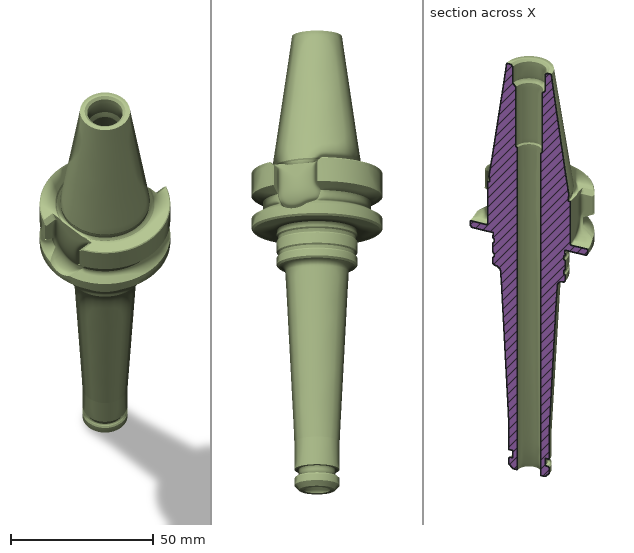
import cadquery as cq
import math

LENGTH = 164.4

TAPER_BOTTOM = 116.5
TAPER_LARGE_DIA = 31.5
TAPER_RATIO = 7 / 24
TAPER_SMALL_DIA = TAPER_LARGE_DIA - (LENGTH - TAPER_BOTTOM) * TAPER_RATIO
RELIEF_DIA = 31.0
RELIEF_LEAD = 0.5
FACE_RECESS_DIA = 35.0
FACE_RECESS_DEPTH = 0.5

FLANGE_DIA = 46.0
FLANGE_TOP = 115.0
FLANGE_BOTTOM = 94.0
FLANGE_TOP_CHAMFER = 0.3
FLANGE_BOTTOM_CHAMFER = 0.7
V_NECK_DIA = 38.1
V_NECK_TOP = 104.0
V_NECK_BOTTOM = 100.6
V_FLANK_ANGLE = 30
V_FLANK_HEIGHT = (FLANGE_DIA - V_NECK_DIA) / 2 * math.tan(math.radians(V_FLANK_ANGLE))
RIM_BOTTOM = V_NECK_TOP + V_FLANK_HEIGHT

SLOT_WIDTH = 16.3
SLOT_FLOOR_Y = 16.3
SLOT_END_Z = 96.8
SLOT_CORNER_RADIUS = 0.5
SLOT_TOP_CHAMFER = 1.6
SLOT_RIM_CHAMFER = 0.5

COLLAR_DIA = 28.5
COLLAR_BOTTOM = 80.9
COLLAR_CHAMFER = 0.7
COLLAR_ROOT_DIA = 28.1
COLLAR_ROOT_HEIGHT = 1.2
COLLAR_GROOVE_TOPS = (92.0, 86.1)
COLLAR_GROOVE_WIDTH = 2.1
COLLAR_GROOVE_DEPTH = 0.5

SHANK_TOP_DIA = 22.4
SHANK_FILLET = 2.0
TIP_DIA = 16.0
TIP_TOP = 17.5
TIP_GROOVE_DIA = 13.0
TIP_GROOVE_TOP = 7.4
TIP_GROOVE_BOTTOM = 4.6
END_TOP_CHAMFER = 0.5
END_CHAMFER = 1.6

MOUTH_DIA = 14.3
MOUTH_CHAMFER_DEPTH = 0.8
PILOT_DIA = 12.5
PILOT_DEPTH = 7.5
THREAD_HOLE_DIA = 10.0
THREAD_HOLE_DEPTH = 32.9
THROUGH_DIA = 9.0


def build_body():
    """Revolve the outer profile, drawn from the tool end upwards."""
    tip_r = TIP_DIA / 2
    tip_groove_r = TIP_GROOVE_DIA / 2
    shank_r = SHANK_TOP_DIA / 2
    collar_r = COLLAR_DIA / 2
    flange_r = FLANGE_DIA / 2
    neck_r = V_NECK_DIA / 2
    recess_r = FACE_RECESS_DIA / 2
    relief_r = RELIEF_DIA / 2
    recess_z = FLANGE_TOP - FACE_RECESS_DEPTH
    profile = (
        cq.Workplane("XZ")
        .moveTo(0, 0)
        .lineTo(tip_r - END_CHAMFER, 0)
        .lineTo(tip_r, END_CHAMFER)
        .lineTo(tip_r, TIP_GROOVE_BOTTOM - END_TOP_CHAMFER)
        .lineTo(tip_r - END_TOP_CHAMFER, TIP_GROOVE_BOTTOM)
        .lineTo(tip_groove_r, TIP_GROOVE_BOTTOM)
        .lineTo(tip_groove_r, TIP_GROOVE_TOP)
        .lineTo(tip_r, TIP_GROOVE_TOP)
        .lineTo(tip_r, TIP_TOP)
        .lineTo(shank_r, COLLAR_BOTTOM - SHANK_FILLET)
        .radiusArc((shank_r + SHANK_FILLET, COLLAR_BOTTOM), SHANK_FILLET)
        .lineTo(collar_r - COLLAR_CHAMFER, COLLAR_BOTTOM)
        .lineTo(collar_r, COLLAR_BOTTOM + COLLAR_CHAMFER)
        .lineTo(collar_r, FLANGE_BOTTOM - COLLAR_ROOT_HEIGHT)
        .lineTo(COLLAR_ROOT_DIA / 2, FLANGE_BOTTOM - COLLAR_ROOT_HEIGHT)
        .lineTo(COLLAR_ROOT_DIA / 2, FLANGE_BOTTOM)
        .lineTo(flange_r - FLANGE_BOTTOM_CHAMFER, FLANGE_BOTTOM)
        .lineTo(flange_r, FLANGE_BOTTOM + FLANGE_BOTTOM_CHAMFER)
        .lineTo(flange_r, V_NECK_BOTTOM - V_FLANK_HEIGHT)
        .lineTo(neck_r, V_NECK_BOTTOM)
        .lineTo(neck_r, V_NECK_TOP)
        .lineTo(flange_r, RIM_BOTTOM)
        .lineTo(flange_r, FLANGE_TOP - FLANGE_TOP_CHAMFER)
        .lineTo(flange_r - FLANGE_TOP_CHAMFER, FLANGE_TOP)
        .lineTo(recess_r, FLANGE_TOP)
        .lineTo(recess_r - FACE_RECESS_DEPTH, recess_z)
        .lineTo(relief_r, recess_z)
        .lineTo(relief_r, TAPER_BOTTOM - RELIEF_LEAD)
        .lineTo(TAPER_LARGE_DIA / 2, TAPER_BOTTOM)
        .lineTo(TAPER_SMALL_DIA / 2, LENGTH)
        .lineTo(0, LENGTH)
        .close()
    )
    return profile.revolve(360, (0, 0), (0, 1))


def build_collar_groove(top):
    """Ring with 45-degree flanks that cuts one groove into the collar."""
    collar_r = COLLAR_DIA / 2
    floor_r = collar_r - COLLAR_GROOVE_DEPTH
    bottom = top - COLLAR_GROOVE_WIDTH
    profile = (
        cq.Workplane("XZ")
        .moveTo(collar_r, top)
        .lineTo(floor_r, top - COLLAR_GROOVE_DEPTH)
        .lineTo(floor_r, bottom + COLLAR_GROOVE_DEPTH)
        .lineTo(collar_r, bottom)
        .close()
    )
    return profile.revolve(360, (0, 0), (0, 1))


def build_drive_slot():
    """Round-ended slot cutter on the -Y side, with rounded floor edges and chamfered rim edges."""
    half = SLOT_WIDTH / 2
    arc_z = SLOT_END_Z + half
    depth = FLANGE_DIA / 2 - SLOT_FLOOR_Y
    slot = (
        cq.Workplane("XZ", origin=(0, -SLOT_FLOOR_Y, 0))
        .moveTo(-half, FLANGE_TOP)
        .lineTo(-half, arc_z)
        .threePointArc((0, SLOT_END_Z), (half, arc_z))
        .lineTo(half, FLANGE_TOP)
        .close()
        .extrude(depth)
    )
    floor_edges = cq.selectors.BoxSelector(
        (-half - 1.6, -SLOT_FLOOR_Y - 0.2, SLOT_END_Z - 1.6),
        (half + 1.6, -SLOT_FLOOR_Y + 0.2, FLANGE_TOP - 0.2),
    )
    slot = slot.edges(floor_edges).fillet(SLOT_CORNER_RADIUS)
    top_flare = (
        cq.Workplane("XZ", origin=(0, -SLOT_FLOOR_Y, 0))
        .moveTo(-half - SLOT_TOP_CHAMFER, FLANGE_TOP)
        .lineTo(-half, FLANGE_TOP - SLOT_TOP_CHAMFER)
        .lineTo(half, FLANGE_TOP - SLOT_TOP_CHAMFER)
        .lineTo(half + SLOT_TOP_CHAMFER, FLANGE_TOP)
        .close()
        .extrude(depth)
    )
    flange_r = FLANGE_DIA / 2
    rim_half = half + SLOT_RIM_CHAMFER
    rim_y = math.sqrt(flange_r**2 - rim_half**2)
    chamfer_start_y = rim_y - SLOT_RIM_CHAMFER
    outer_half = half + flange_r - chamfer_start_y
    rim_flare = (
        cq.Workplane("XY", origin=(0, 0, RIM_BOTTOM))
        .moveTo(-half, -chamfer_start_y)
        .lineTo(half, -chamfer_start_y)
        .lineTo(outer_half, -flange_r)
        .lineTo(-outer_half, -flange_r)
        .close()
        .extrude(FLANGE_TOP - RIM_BOTTOM)
    )
    return slot.union(top_flare).union(rim_flare)


def build_bore():
    """Stepped bore with a chamfered mouth and 45-degree shoulders."""
    pilot_r = PILOT_DIA / 2
    thread_r = THREAD_HOLE_DIA / 2
    through_r = THROUGH_DIA / 2
    pilot_end = LENGTH - PILOT_DEPTH
    thread_end = LENGTH - THREAD_HOLE_DEPTH
    profile = (
        cq.Workplane("XZ")
        .moveTo(0, 0)
        .lineTo(through_r, 0)
        .lineTo(through_r, thread_end - (thread_r - through_r))
        .lineTo(thread_r, thread_end)
        .lineTo(thread_r, pilot_end - (pilot_r - thread_r))
        .lineTo(pilot_r, pilot_end)
        .lineTo(pilot_r, LENGTH - MOUTH_CHAMFER_DEPTH)
        .lineTo(MOUTH_DIA / 2, LENGTH)
        .lineTo(0, LENGTH)
        .close()
    )
    return profile.revolve(360, (0, 0), (0, 1))


result = build_body()
for groove_top in COLLAR_GROOVE_TOPS:
    result = result.cut(build_collar_groove(groove_top))
for slot_angle in (0, 180):
    result = result.cut(build_drive_slot().rotate((0, 0, 0), (0, 0, 1), slot_angle))
result = result.cut(build_bore())